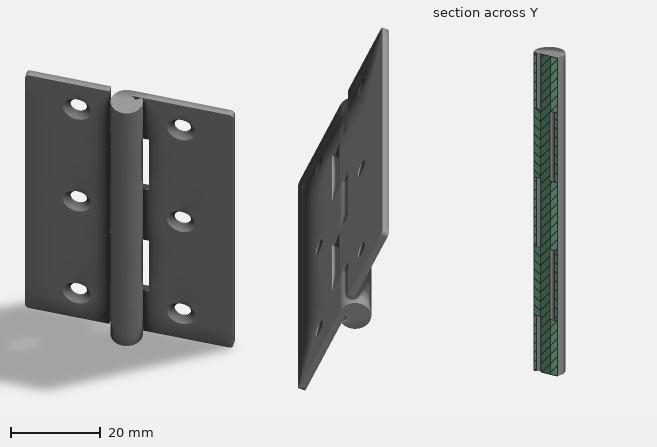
import cadquery as cq
import math

height = 76.0
width = 48.0
thickness = 1.6
knuckle_diameter = 7.2
corner_radius = 1.0

knuckle_radius = knuckle_diameter / 2
pin_radius = knuckle_radius - thickness
knuckle_length = 16.5
notch_edge = 4.55
curl_end_angle = 33.0

hole_offset = 12.0
hole_pitch = 30.0
hole_diameter = 3.8
countersink_diameter = 6.5
countersink_angle = 90.0

top = height / 2
middle_end = knuckle_length / 2
outer_start = middle_end + knuckle_length
right_knuckles = [(-top, -outer_start), (-middle_end, middle_end), (outer_start, top)]
left_knuckles = [(-outer_start, -middle_end), (middle_end, outer_start)]


def make_plate():
    """Flat right-hand leaf with rounded outer corners and its inner edge clear of the knuckles."""
    plate_width = width / 2 - notch_edge
    return (
        cq.Workplane("XY")
        .box(plate_width, thickness, height, centered=(False, False, True))
        .translate((notch_edge, pin_radius, 0))
        .edges("|Y and >X")
        .fillet(corner_radius)
    )


def make_knuckle(z_start, z_end):
    """Strip curling from the leaf around the pin to a radial free end just short of the leaf."""
    end_cos = math.cos(math.radians(curl_end_angle))
    end_sin = math.sin(math.radians(curl_end_angle))
    outer_end = (knuckle_radius * end_cos, knuckle_radius * end_sin)
    inner_end = (pin_radius * end_cos, pin_radius * end_sin)
    return (
        cq.Workplane("XY")
        .workplane(offset=z_start)
        .moveTo(notch_edge, knuckle_radius)
        .lineTo(0, knuckle_radius)
        .threePointArc((0, -knuckle_radius), outer_end)
        .lineTo(*inner_end)
        .threePointArc((0, -pin_radius), (0, pin_radius))
        .lineTo(notch_edge, pin_radius)
        .close()
        .extrude(z_end - z_start)
    )


def cut_screw_holes(leaf):
    """Column of three through holes, countersunk on the pin side."""
    return (
        leaf.copyWorkplane(cq.Workplane("XZ", origin=(hole_offset, pin_radius, 0)))
        .pushPoints([(0, row * hole_pitch) for row in (-1, 0, 1)])
        .cskHole(hole_diameter, countersink_diameter, countersink_angle)
    )


def make_leaf(knuckles):
    """Right-hand leaf: plate, curled knuckles and screw holes as one solid."""
    leaf = make_plate()
    for z_start, z_end in knuckles:
        leaf = leaf.union(make_knuckle(z_start, z_end))
    return cut_screw_holes(leaf)


def make_pin():
    """Plain pin filling the knuckle bores, flush at both ends."""
    return cq.Workplane("XY").workplane(offset=-top).circle(pin_radius).extrude(height)


right_leaf = make_leaf(right_knuckles)
left_leaf = make_leaf(left_knuckles).mirror("YZ")
pin = make_pin()

result = cq.Compound.makeCompound([right_leaf.val(), left_leaf.val(), pin.val()])